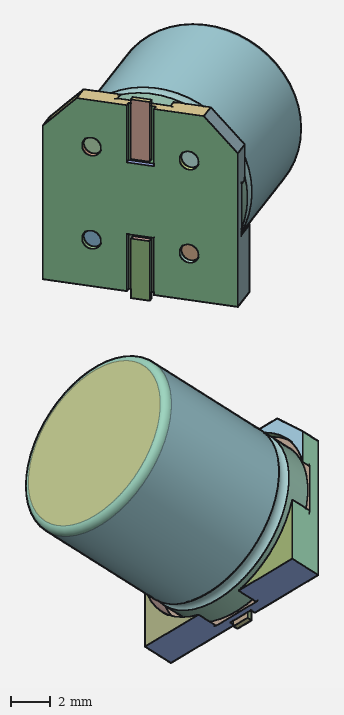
import cadquery as cq

base_size = 10.3
corner_clip = 1.79
floor_thickness = 0.6
upper_post_height = 1.1
lower_post_height = 1.87
cavity_radius = 5.34

overall_depth = 10.8
can_radius = 5.0
can_edge_radius = 0.4
groove_start = 1.96
groove_length = 0.7
groove_depth = 0.22

overall_height = 11.0
terminal_width = 0.99
terminal_length = 3.3
terminal_thickness = 0.3
slot_clearance = 0.22
slot_width = terminal_width + 2 * slot_clearance

recess_diameter = 1.0
recess_spacing = base_size / 2
recess_depth = 0.3


def block(x_size, z_size, depth, z_center=0.0):
    """Box centred on X that rises from the underside (Y = 0) towards +Y."""
    solid = cq.Workplane("XY").box(x_size, depth, z_size, centered=(True, False, True))
    return solid.translate((0, 0, z_center))


def make_base():
    upper_half = block(base_size, base_size / 2, upper_post_height, base_size / 4)
    lower_half = block(base_size, base_size / 2, lower_post_height, -base_size / 4)
    base = upper_half.union(lower_half)
    base = base.edges("|Y and >Z").chamfer(corner_clip)

    floor_plane = cq.Workplane("XZ", origin=(0, floor_thickness, 0))
    cavity = floor_plane.circle(cavity_radius).extrude(-lower_post_height)
    return base.cut(cavity)


def make_can():
    neck_radius = can_radius - groove_depth
    groove_end = groove_start + groove_length
    groove_middle = groove_start + groove_length / 2
    profile = (
        cq.Workplane("XY")
        .moveTo(0, floor_thickness)
        .lineTo(can_radius, floor_thickness)
        .lineTo(can_radius, groove_start)
        .threePointArc((neck_radius, groove_middle), (can_radius, groove_end))
        .lineTo(can_radius, overall_depth)
        .lineTo(0, overall_depth)
        .close()
    )
    can = profile.revolve(360, (0, 0, 0), (0, 1, 0))
    return can.faces(">Y").edges().fillet(can_edge_radius)


def cut_recesses(body):
    recesses = (
        cq.Workplane("XZ")
        .rect(recess_spacing, recess_spacing, forConstruction=True)
        .vertices()
        .circle(recess_diameter / 2)
        .extrude(-recess_depth)
    )
    return body.cut(recesses)


def add_terminals(body):
    inner_end = overall_height / 2 - terminal_length
    slot_end = inner_end - slot_clearance
    slot_length = base_size / 2 - slot_end
    for side in (1, -1):
        slot = block(slot_width, slot_length, terminal_thickness, side * (slot_end + slot_length / 2))
        terminal = block(
            terminal_width, terminal_length, terminal_thickness, side * (inner_end + terminal_length / 2)
        )
        body = body.cut(slot).union(terminal)
    return body


result = add_terminals(cut_recesses(make_base().union(make_can())))